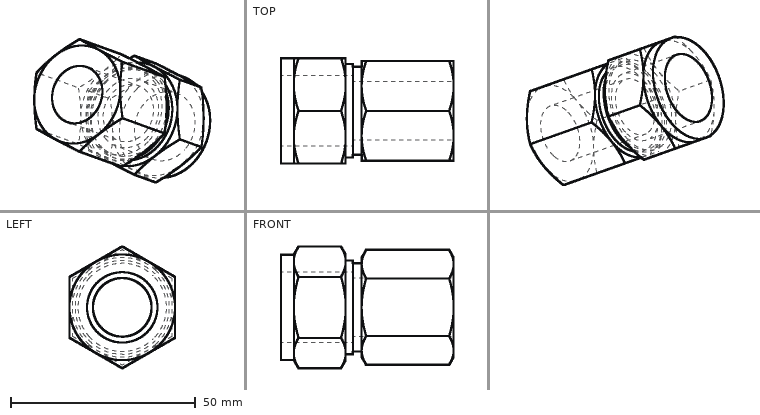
import cadquery as cq
import math

nut_flats = 28.575
body_flats = 27.0
chamfer_angle = 30.0
hexagon_sides = 6

collar_length = 3.5
nut_length = 14.05
shoulder_length = 1.9
neck_length = 2.41
overall_length = 46.73

collar_diameter = nut_flats
shoulder_diameter = 25.4
neck_diameter = 23.9

tube_bore_diameter = 19.05
passage_diameter = 15.8
tube_bore_depth = collar_length + nut_length + shoulder_length

nut_start = collar_length
shoulder_start = nut_start + nut_length
neck_start = shoulder_start + shoulder_length
body_start = neck_start + neck_length
body_length = overall_length - body_start


def cylinder(start, length, diameter):
    """Cylinder along X beginning at the given position."""
    return cq.Workplane("YZ", origin=(start, 0, 0)).circle(diameter / 2).extrude(length)


def chamfered_hexagon(start, length, across_flats):
    """Hexagonal bar along X with flats on +-Y and both ends turned down to the flats."""
    corner_diameter = across_flats / math.cos(math.pi / hexagon_sides)
    flat_radius = across_flats / 2
    corner_radius = corner_diameter / 2
    chamfer_length = (corner_radius - flat_radius) * math.tan(math.radians(chamfer_angle))
    end = start + length
    bar = (
        cq.Workplane("YZ", origin=(start, 0, 0))
        .transformed(rotate=(0, 0, 90))
        .polygon(hexagon_sides, corner_diameter)
        .extrude(length)
    )
    turned_envelope = (
        cq.Workplane("XY")
        .moveTo(start, 0)
        .lineTo(start, flat_radius)
        .lineTo(start + chamfer_length, corner_radius)
        .lineTo(end - chamfer_length, corner_radius)
        .lineTo(end, flat_radius)
        .lineTo(end, 0)
        .close()
        .revolve(360, (0, 0, 0), (1, 0, 0))
    )
    return bar.intersect(turned_envelope)


fitting = (
    cylinder(0, collar_length, collar_diameter)
    .union(chamfered_hexagon(nut_start, nut_length, nut_flats))
    .union(cylinder(shoulder_start, shoulder_length, shoulder_diameter))
    .union(cylinder(neck_start, neck_length, neck_diameter))
    .union(chamfered_hexagon(body_start, body_length, body_flats))
)

tube_bore = cylinder(0, tube_bore_depth, tube_bore_diameter)
passage = cylinder(0, overall_length, passage_diameter)
result = fitting.cut(tube_bore).cut(passage)